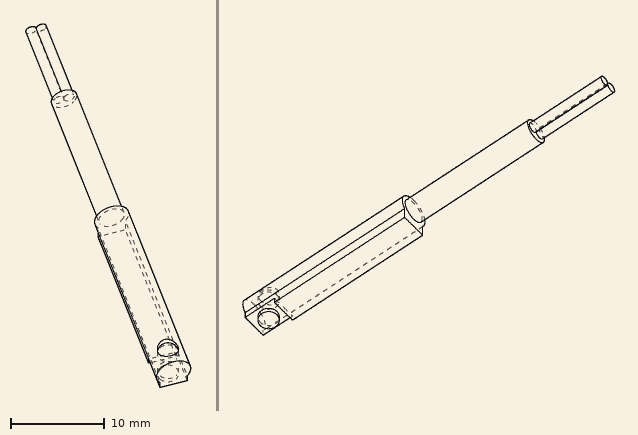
import cadquery as cq

total_length = 49.0
sheath_start = 9.95
housing_start = 26.9
foot_end = 44.95
screw_x = 47.0

housing_diameter = 3.85
sheath_diameter = 2.9
wire_diameter = 1.2
wire_overlap = 0.02

foot_width = 3.1
foot_bottom = -2.75
end_bottom = -2.0

screw_diameter = 2.3
screw_radius = screw_diameter / 2
screw_top = 2.05
screw_bottom = -2.6
dome_center = screw_top - screw_radius


def rod(diameter, start, end, y=0):
    """Cylinder parallel to X between two X positions."""
    return cq.Workplane("YZ", origin=(start, y, 0)).circle(diameter / 2).extrude(end - start)


def foot_block(end, bottom):
    """Part of the foot from the housing start to the given end and depth."""
    return (
        cq.Workplane("XY", origin=(housing_start, 0, bottom))
        .rect(end - housing_start, foot_width)
        .extrude(-bottom)
        .translate(((end - housing_start) / 2, 0, 0))
    )


def vertical_cylinder(bottom, top):
    """Cylinder of the screw diameter on the screw axis."""
    return cq.Workplane("XY", origin=(screw_x, 0, bottom)).circle(screw_radius).extrude(top - bottom)


housing = rod(housing_diameter, housing_start, total_length)
housing = housing.union(foot_block(foot_end, foot_bottom))
housing = housing.union(foot_block(total_length, end_bottom))

dome = cq.Workplane("XY", origin=(screw_x, 0, dome_center)).sphere(screw_radius)
housing = housing.cut(vertical_cylinder(dome_center, housing_diameter))
housing = housing.union(vertical_cylinder(screw_bottom, dome_center)).union(dome)

result = housing.union(rod(sheath_diameter, sheath_start, housing_start))
wire_offset = (wire_diameter - wire_overlap) / 2
for side in (-1, 1):
    result = result.union(rod(wire_diameter, 0, sheath_start, side * wire_offset))